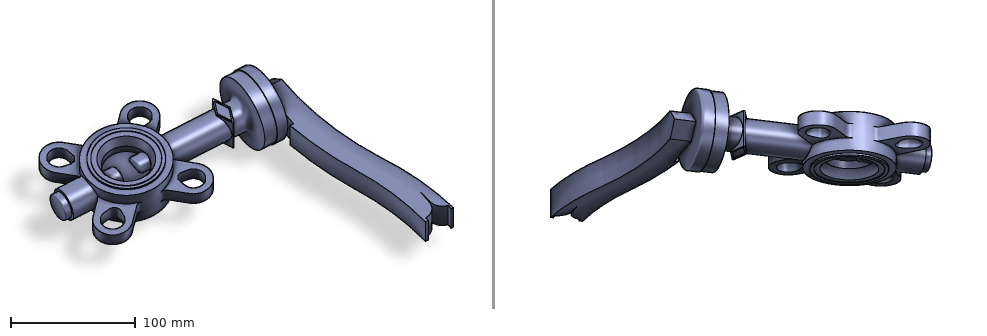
import cadquery as cq
import math


ring_radius = 37.5
ring_half_height = 16.8
rim_radius = 31.5
rim_height = 1.5
seat_radius = 28.5
seat_depth = 0.8
bore_mouth_radius = 23.5
bore_throat_radius = 20.0
throat_half_height = 9.3
seat_level = ring_half_height + rim_height - seat_depth

disc_thickness = 5.2
stub_radius = 9.5
stub_gap = 15.0
stub_fillet = 2.3

lug_angles = [45, 135, 225, 315]
lug_radius = 16.0
lug_fillet = 6.5
lug_thickness = 12.2
lug_hole_radius = 9.8
lug_hole_offset = 39.0
lug_hole_distance = lug_hole_offset * math.sqrt(2)
lug_slot_radius = 5.7
lug_slot_offset = 34.0
lug_slot_distance = lug_slot_offset * math.sqrt(2)

neck_radius = 14.0
boss_length = 60.1
spigot_radius = 11.7
spigot_end = 66.0
spigot_fillet = 1.0
flange_bottom = 111.7
flange_radius = 32.7
cap_bottom = 123.5
cap_top = 134.5
cap_radius = 33.5
cap_fillet = 2.5
neck_fillet = 6.0

badge_y = 93.3
badge_half_length = 15.0
badge_half_width = 6.7
badge_tip_half_width = 0.5
badge_half_height = 15.5
field_half_length = 12.5
field_half_width = 5.5
badge_recess = 0.5

lever_thickness = 24.4
nose_x = -16.8
nose_length = 13.0
nose_top = 152.7
heel_x = 40.0
heel_y = 131.2
bend_x = 107.0
bend_bottom = 149.0
bend_top = 173.1
lever_end_x = 183.8
tip_bottom = 166.1
tip_top = 193.0

near_bottom_point = (75.2, 138.7)
far_bottom_point = (143.9, 160.5)
near_top_point = (51.8, 157.0)
far_top_point = (146.5, 186.5)

prong_bottom = tip_bottom + 2.9
prong_top = tip_top - 2.3
lower_lobe_start = (180.5, prong_bottom)
lower_lobe_middle = (176.5, 177.0)
lower_lobe_end = (168.5, 180.1)
slit_point = (156.0, 180.1)
upper_lobe_start = (167.0, 181.0)
upper_lobe_middle = (175.5, 184.0)
upper_lobe_end = (179.4, prong_top)


def cylinder_along_y(radius, start, end):
    """A cylinder on the Y axis between two Y positions."""
    return cq.Workplane("XZ", origin=(0, start, 0)).circle(radius).extrude(start - end)


def plate(sketch, thickness):
    """Extrude an XY outline equally to both sides of the Z = 0 plane."""
    return sketch.extrude(thickness / 2, both=True)


def make_ring():
    """The ring with a raised rim on both faces."""
    ring = plate(cq.Workplane("XY").circle(ring_radius), 2 * ring_half_height)
    rim = plate(cq.Workplane("XY").circle(rim_radius), 2 * (ring_half_height + rim_height))
    return ring.union(rim)


def make_lug(angle):
    """One rounded arm with an elongated hole that narrows toward the bore."""
    fillet_y = lug_radius + lug_fillet
    fillet_reach = ring_radius + lug_fillet
    fillet_x = math.sqrt(fillet_reach**2 - fillet_y**2)
    root_x = fillet_x * ring_radius / fillet_reach
    root_y = fillet_y * ring_radius / fillet_reach
    mid_angle = (math.atan2(-fillet_y, -fillet_x) - math.pi / 2) / 2
    mid_x = fillet_x + lug_fillet * math.cos(mid_angle)
    mid_y = fillet_y + lug_fillet * math.sin(mid_angle)
    arm = (
        cq.Workplane("XY")
        .lineTo(root_x, -root_y)
        .threePointArc((mid_x, -mid_y), (fillet_x, -lug_radius))
        .lineTo(lug_hole_distance, -lug_radius)
        .threePointArc((lug_hole_distance + lug_radius, 0), (lug_hole_distance, lug_radius))
        .lineTo(fillet_x, lug_radius)
        .threePointArc((mid_x, mid_y), (root_x, root_y))
        .close()
    )
    lean = (lug_hole_radius - lug_slot_radius) / (lug_hole_distance - lug_slot_distance)
    rise = math.sqrt(1 - lean**2)
    outer_x = lug_hole_distance - lug_hole_radius * lean
    outer_y = lug_hole_radius * rise
    inner_x = lug_slot_distance - lug_slot_radius * lean
    inner_y = lug_slot_radius * rise
    hole = (
        cq.Workplane("XY")
        .moveTo(inner_x, -inner_y)
        .lineTo(outer_x, -outer_y)
        .threePointArc((lug_hole_distance + lug_hole_radius, 0), (outer_x, outer_y))
        .lineTo(inner_x, inner_y)
        .threePointArc((lug_slot_distance - lug_slot_radius, 0), (inner_x, -inner_y))
        .close()
    )
    lug = plate(arm, lug_thickness).cut(plate(hole, lug_thickness))
    return lug.rotate((0, 0, 0), (0, 0, 1), angle)


def make_neck():
    """The neck with its flange and cap, plus the bottom boss with its spigot."""
    fillet_middle = neck_fillet * (1 - math.sqrt(0.5))
    profile = (
        cq.Workplane("XY")
        .moveTo(0, 0)
        .lineTo(neck_radius, 0)
        .lineTo(neck_radius, flange_bottom - neck_fillet)
        .threePointArc(
            (neck_radius + fillet_middle, flange_bottom - fillet_middle),
            (neck_radius + neck_fillet, flange_bottom),
        )
        .lineTo(flange_radius, flange_bottom)
        .lineTo(flange_radius, cap_bottom)
        .lineTo(0, cap_bottom)
        .close()
    )
    neck = profile.revolve(360, (0, 0, 0), (0, 1, 0))
    cap = cylinder_along_y(cap_radius, cap_bottom, cap_top).edges(">Y").fillet(cap_fillet)
    boss = cylinder_along_y(neck_radius, -boss_length, 0)
    spigot = cylinder_along_y(spigot_radius, -spigot_end, 0).edges("<Y").fillet(spigot_fillet)
    return neck.union(cap).union(boss).union(spigot)


def make_badge():
    """A diamond block through the neck, with flat-cut long ends and a sunk field on both faces."""
    outline = (
        cq.Workplane("XY")
        .center(0, badge_y)
        .moveTo(-badge_half_length, -badge_tip_half_width)
        .lineTo(0, -badge_half_width)
        .lineTo(badge_half_length, -badge_tip_half_width)
        .lineTo(badge_half_length, badge_tip_half_width)
        .lineTo(0, badge_half_width)
        .lineTo(-badge_half_length, badge_tip_half_width)
        .close()
    )
    block = plate(outline, 2 * badge_half_height)
    for face_z in (badge_half_height, badge_recess - badge_half_height):
        field = (
            cq.Workplane("XY", origin=(0, badge_y, face_z))
            .moveTo(-field_half_length, 0)
            .lineTo(0, -field_half_width)
            .lineTo(field_half_length, 0)
            .lineTo(0, field_half_width)
            .close()
            .extrude(-badge_recess)
        )
        block = block.cut(field)
    return block


def make_bore():
    """The through opening: recessed seats, tapered mouths and a straight throat."""
    top = ring_half_height + rim_height
    profile = (
        cq.Workplane("XZ")
        .moveTo(0, -top)
        .lineTo(seat_radius, -top)
        .lineTo(seat_radius, -seat_level)
        .lineTo(bore_mouth_radius, -seat_level)
        .lineTo(bore_throat_radius, -throat_half_height)
        .lineTo(bore_throat_radius, throat_half_height)
        .lineTo(bore_mouth_radius, seat_level)
        .lineTo(seat_radius, seat_level)
        .lineTo(seat_radius, top)
        .lineTo(0, top)
        .close()
    )
    return profile.revolve(360, (0, 0, 0), (0, 1, 0))


def make_disc():
    """The closed disc with a shaft stub at each end of its diameter."""
    disc = plate(cq.Workplane("XY").circle(bore_throat_radius), disc_thickness)
    stub = cylinder_along_y(stub_radius, stub_gap / 2, seat_radius).edges("<Y").fillet(stub_fillet)
    return disc.union(stub).union(stub.mirror("XZ"))


def make_housing():
    """The valve body: ring, lugs, neck and badge, opened by the bore and closed by the disc."""
    housing = make_ring()
    for angle in lug_angles:
        housing = housing.union(make_lug(angle))
    housing = housing.union(make_neck()).union(make_badge())
    return housing.cut(make_bore()).union(make_disc())


def make_lever():
    """An S-bent lever with a pointed nose, a heel beside the cap and a forked end."""
    outline = (
        cq.Workplane("XY")
        .moveTo(nose_x, cap_top)
        .lineTo(heel_x, cap_top)
        .lineTo(heel_x, heel_y)
        .threePointArc(near_bottom_point, (bend_x, bend_bottom))
        .threePointArc(far_bottom_point, (lever_end_x, tip_bottom))
        .lineTo(lever_end_x, prong_bottom)
        .lineTo(*lower_lobe_start)
        .threePointArc(lower_lobe_middle, lower_lobe_end)
        .lineTo(*slit_point)
        .lineTo(*upper_lobe_start)
        .threePointArc(upper_lobe_middle, upper_lobe_end)
        .lineTo(lever_end_x, prong_top)
        .lineTo(lever_end_x, tip_top)
        .threePointArc(far_top_point, (bend_x, bend_top))
        .threePointArc(near_top_point, (nose_x, nose_top))
        .close()
    )
    lever = plate(outline, lever_thickness)
    for face_z in (lever_thickness / 2, -lever_thickness / 2):
        corner = (
            cq.Workplane("XZ")
            .moveTo(nose_x, 0)
            .lineTo(nose_x + nose_length, face_z)
            .lineTo(nose_x, face_z)
            .close()
            .extrude(-tip_top)
        )
        lever = lever.cut(corner)
    return lever


housing = make_housing()
lever = make_lever()
result = cq.Compound.makeCompound([housing.val(), lever.val()])